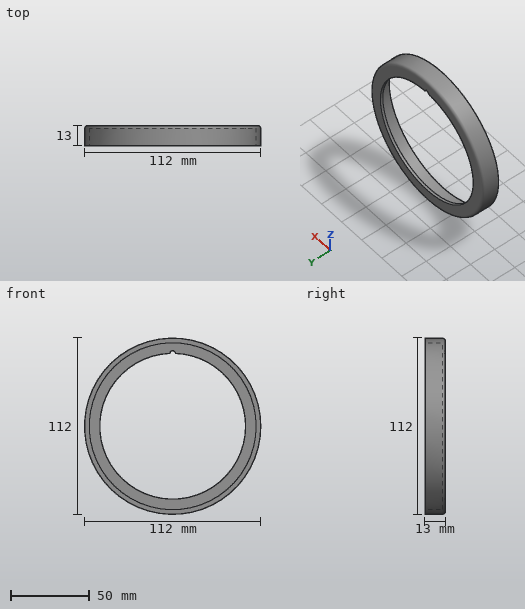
import cadquery as cq

outer_diameter = 112.0
bore_diameter = 106.0
lip_diameter = 92.4
height = 13.0
lip_thickness = 2.0
edge_radius = 2.0
notch_radius = 1.7


def cylinder_along_y(diameter, start, length, z=0):
    """Cylinder running from y = start towards +Y."""
    plane = cq.Workplane("XZ", origin=(0, start, z))
    return plane.circle(diameter / 2).extrude(-length)


front = -height / 2
body = cylinder_along_y(outer_diameter, front, height).faces(">Y").edges().fillet(edge_radius)

bore = cylinder_along_y(bore_diameter, front, height - lip_thickness)
opening = cylinder_along_y(lip_diameter, front, height)

notch = cylinder_along_y(2 * notch_radius, front, height, z=lip_diameter / 2)

result = body.cut(bore).cut(opening).cut(notch)